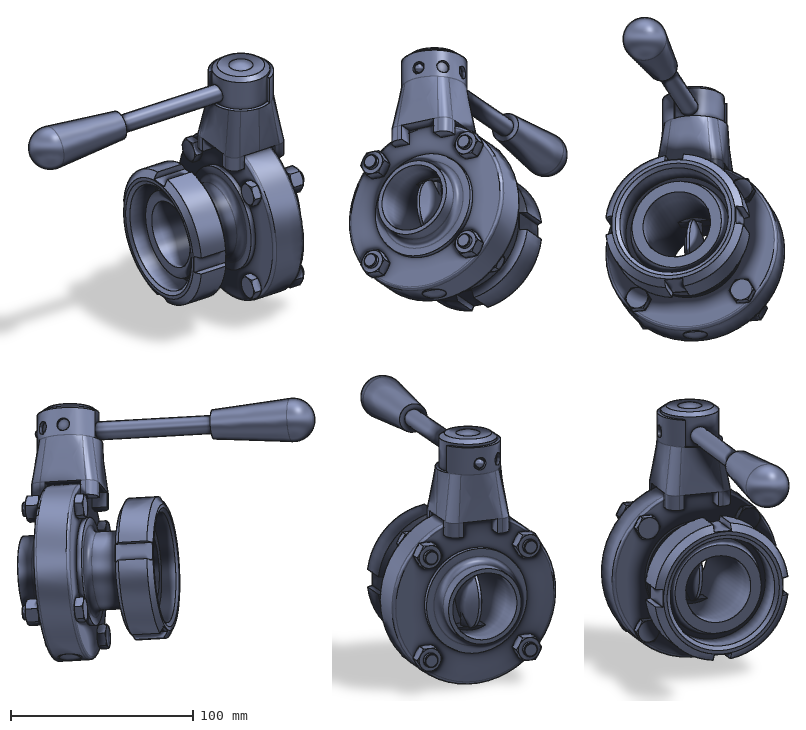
import cadquery as cq
import math


bore_radius = 38.0 / 2
pipe_radius = 43.0 / 2
pipe_rear_y = 24.8
flange_radius = 96.9 / 2
flange_half = 10.0
flange_rounding = 1.6
ring_radius = 59.5 / 2
ring_height = 3.0
cove_radius = 3.9

seat_start_y = -31.5
liner_radius = 27.8
liner_front_radius = 25.2
liner_front_y = -46.1
seat_rise = liner_radius - pipe_radius
seat_end_y = seat_start_y - seat_rise

nut_radius = 78.0 / 2
nut_rear_y = -33.0
nut_front_y = -54.2
nut_chamfer_axial = 2.6
nut_chamfer_radial = 4.2
nut_bore_radius = 30.5
nut_mouth_radius = 32.8
nut_mouth_depth = 1.3
nut_slot_width = 10.0
nut_slot_floor = 35.0
nut_slot_count = 4

bolt_offset = 29.4
head_flats = 12.2
head_height = 5.0
hex_nut_flats = 13.0
hex_nut_height = 7.3
hex_chamfer = 0.5
stud_diameter = 8.0
stud_end_y = 19.8
stud_chamfer = 0.5

yoke_half = 18.7
yoke_corner = 5.8
yoke_radius = 18.0
yoke_bottom_z = 39.0
notch_top_z = 47.2
notch_half = 10.0
ledge_z = 73.7
yoke_top_z = 89.1
window_edge = 8.3
detent_diameter = 7.0
detent_angles = (90, 135, 180)

stem_radius = 8.0 / 2
disc_radius = 18.2
disc_half = 5.0
disc_rim_half = 0.8
pad_z = 16.9
pad_half = 4.2

head_radius = 32.0 / 2
head_top_z = 92.7
head_face_radius = 13.07
head_chamfer_height = 2.1
dome_radius = 6.7
dome_height = 1.6
foot_rim_z = -48.0
lever_z = 79.7
rod_radius = 5.0
grip_start_y = -80.5
grip_start_radius = 8.1
grip_ball_radius = 12.0
grip_end_y = -137.5
detent_ball_radius = 5.0 / 2
detent_ball_y = 19.5 - detent_ball_radius


def rod_y(radius, start_y, end_y, x=0, z=0):
    """Cylinder along Y between two stations."""
    plane = cq.Workplane("XZ", origin=(x, start_y, z))
    return plane.circle(radius).extrude(start_y - end_y)


def rod_z(radius, bottom_z, top_z):
    """Cylinder on the stem axis between two heights."""
    return cq.Workplane("XY", origin=(0, 0, bottom_z)).circle(radius).extrude(top_z - bottom_z)


def block(x_limits, y_limits, z_limits):
    """Box between pairs of coordinates."""
    sizes = [high - low for low, high in (x_limits, y_limits, z_limits)]
    corner = (x_limits[0], y_limits[0], z_limits[0])
    return cq.Workplane("XY", origin=corner).box(*sizes, centered=False)


def revolve_about_y(profile):
    return profile.close().revolve(360, (0, 0, 0), (0, 1, 0))


def make_raised_ring(side):
    """Raised ring on one flange face, blending into the pipe with a cove."""
    face_y = side * (flange_half + ring_height)
    cove_x = pipe_radius + cove_radius
    cove_y = face_y + side * cove_radius
    diagonal = cove_radius * math.sqrt(0.5)
    profile = (
        cq.Workplane("XY")
        .moveTo(bore_radius, 0)
        .lineTo(ring_radius, 0)
        .lineTo(ring_radius, face_y)
        .lineTo(cove_x, face_y)
        .threePointArc((cove_x - diagonal, cove_y - side * diagonal), (pipe_radius, cove_y))
        .lineTo(bore_radius, cove_y)
    )
    return revolve_about_y(profile)


def make_liner():
    """Flared seat for the nut followed by the tapering liner nose."""
    profile = (
        cq.Workplane("XY")
        .moveTo(bore_radius, seat_start_y)
        .lineTo(pipe_radius, seat_start_y)
        .lineTo(liner_radius, seat_end_y)
        .lineTo(liner_front_radius, liner_front_y)
        .lineTo(bore_radius, liner_front_y)
    )
    return revolve_about_y(profile)


def make_hex(flats, start_y, end_y, x, z):
    """Hexagon along Y with a corner on X; conical chamfers take its end corners down to its flats."""
    corner_radius = flats / math.sqrt(3)
    prism = cq.Workplane("XZ", origin=(x, start_y, z)).polygon(6, 2 * corner_radius).extrude(start_y - end_y)
    envelope = rod_y(corner_radius, start_y, end_y, x, z)
    envelope = envelope.faces("<Y or >Y").edges().chamfer(hex_chamfer, corner_radius - flats / 2)
    return prism.intersect(envelope)


def make_bolt(x, z):
    """Hex head on the front flange face; hex nut and stud end on the rear one."""
    head = make_hex(head_flats, -flange_half, -flange_half - head_height, x, z)
    hex_nut = make_hex(hex_nut_flats, flange_half + hex_nut_height, flange_half, x, z)
    stud = rod_y(stud_diameter / 2, stud_end_y, flange_half, x, z).faces(">Y").chamfer(stud_chamfer)
    return [head, hex_nut, stud]


def make_yoke():
    """Four legs astride the flanges, blending from a rounded square into a round cup."""
    square = cq.Sketch().rect(2 * yoke_half, 2 * yoke_half).vertices().fillet(yoke_corner)
    legs = cq.Workplane("XY", origin=(0, 0, yoke_bottom_z)).placeSketch(square)
    legs = legs.extrude(notch_top_z - yoke_bottom_z)
    notch = (-notch_half, notch_half)
    full = (-yoke_half, yoke_half)
    notch_z = (yoke_bottom_z, notch_top_z)
    legs = legs.cut(block(notch, full, notch_z)).cut(block(full, notch, notch_z))

    ring = cq.Sketch().circle(yoke_radius)
    top_location = cq.Location(cq.Vector(0, 0, ledge_z - notch_top_z))
    blend = cq.Workplane("XY", origin=(0, 0, notch_top_z))
    blend = blend.placeSketch(square, ring.moved(top_location)).loft()

    cup = rod_z(yoke_radius, ledge_z, yoke_top_z).cut(rod_z(head_radius, ledge_z, yoke_top_z))
    window = block((-window_edge, yoke_half), (-yoke_half, window_edge), (ledge_z, yoke_top_z))
    cup = cup.cut(window)
    detent_hole = cq.Workplane("YZ", origin=(0, 0, lever_z)).circle(detent_diameter / 2).extrude(yoke_half)
    for angle in detent_angles:
        hole = detent_hole.rotate((0, 0, 0), (0, 0, 1), angle)
        cup = cup.cut(hole)
    return legs.union(blend).union(cup)


def make_bearing_pads():
    """Flat pads across the top and bottom of the bore, where the stem enters."""
    core = rod_y(bore_radius, pad_half, -pad_half)
    full = (-bore_radius, bore_radius)
    return core.cut(block(full, full, (-pad_z, pad_z)))


def make_housing():
    flanges = rod_y(flange_radius, flange_half, -flange_half).edges().fillet(flange_rounding)
    body = flanges.union(rod_y(pipe_radius, pipe_rear_y, seat_start_y))
    for side in (-1, 1):
        body = body.union(make_raised_ring(side))
    body = body.union(make_liner()).union(make_yoke())
    body = body.cut(rod_y(bore_radius, pipe_rear_y, liner_front_y)).union(make_bearing_pads())
    for x in (-bolt_offset, bolt_offset):
        for z in (-bolt_offset, bolt_offset):
            for piece in make_bolt(x, z):
                body = body.union(piece)
    return body.cut(make_stem()).cut(make_disc())


def make_union_nut():
    """Slotted ring nut whose rear lip bears on the flared seat of the liner."""
    face_radius = nut_radius - nut_chamfer_radial
    lip_radius = pipe_radius + (seat_start_y - nut_rear_y)
    profile = (
        cq.Workplane("XY")
        .moveTo(lip_radius, nut_rear_y)
        .lineTo(face_radius, nut_rear_y)
        .lineTo(nut_radius, nut_rear_y - nut_chamfer_axial)
        .lineTo(nut_radius, nut_front_y + nut_chamfer_axial)
        .lineTo(face_radius, nut_front_y)
        .lineTo(nut_mouth_radius, nut_front_y)
        .lineTo(nut_bore_radius, nut_front_y + nut_mouth_depth)
        .lineTo(nut_bore_radius, seat_end_y)
        .lineTo(liner_radius, seat_end_y)
    )
    nut = revolve_about_y(profile)
    half_width = nut_slot_width / 2
    slot = block((nut_slot_floor, nut_radius), (nut_front_y, nut_rear_y), (-half_width, half_width))
    for index in range(nut_slot_count):
        nut = nut.cut(slot.rotate((0, 0, 0), (0, 1, 0), index * 360 / nut_slot_count))
    return nut


def make_dome(rim_z, direction):
    """Shallow spherical cap on the stem axis, bulging up (+1) or down (-1)."""
    ball_radius = (dome_radius**2 + dome_height**2) / (2 * dome_height)
    ball_z = rim_z + direction * (dome_height - ball_radius)
    ball = cq.Workplane("XY", origin=(0, 0, ball_z)).sphere(ball_radius)
    rim = cq.Workplane("XY", origin=(0, 0, rim_z)).circle(dome_radius)
    return rim.extrude(direction * dome_height).intersect(ball)


def make_disc():
    """Lens-shaped disc in the open position, lying in the YZ plane."""
    sagitta = disc_half - disc_rim_half
    ball_radius = (disc_radius**2 + sagitta**2) / (2 * sagitta)
    half_angle = math.asin(disc_radius / ball_radius) / 2
    bulge_x = disc_half - ball_radius * (1 - math.cos(half_angle))
    bulge_y = ball_radius * math.sin(half_angle)
    profile = (
        cq.Workplane("XY")
        .moveTo(-disc_half, 0)
        .threePointArc((-bulge_x, bulge_y), (-disc_rim_half, disc_radius))
        .lineTo(disc_rim_half, disc_radius)
        .threePointArc((bulge_x, bulge_y), (disc_half, 0))
    )
    return profile.close().revolve(360, (0, 0, 0), (1, 0, 0))


def make_head():
    """Round head in the yoke cup, with a chamfered top and a detent ball at the rear."""
    head = rod_z(head_radius, ledge_z, head_top_z)
    head = head.faces(">Z").edges().chamfer(head_chamfer_height, head_radius - head_face_radius)
    ball = cq.Workplane("XY", origin=(0, detent_ball_y, lever_z)).sphere(detent_ball_radius)
    return head.union(ball).union(make_dome(head_top_z, 1))


def make_handle():
    """Rod and tapered grip with a ball end that the taper meets tangentially."""
    ball_y = grip_end_y + grip_ball_radius
    distance = grip_start_y - ball_y
    tangent_angle = math.atan2(grip_start_radius, distance)
    tangent_angle = math.acos(grip_ball_radius / math.hypot(distance, grip_start_radius)) + tangent_angle
    tangent_x = grip_ball_radius * math.sin(tangent_angle)
    tangent_y = ball_y + grip_ball_radius * math.cos(tangent_angle)
    arc_angle = (tangent_angle + math.pi) / 2
    arc_point = (grip_ball_radius * math.sin(arc_angle), ball_y + grip_ball_radius * math.cos(arc_angle))
    profile = (
        cq.Workplane("XY")
        .moveTo(0, grip_start_y)
        .lineTo(grip_start_radius, grip_start_y)
        .lineTo(tangent_x, tangent_y)
        .threePointArc(arc_point, (0, grip_end_y))
    )
    grip = revolve_about_y(profile)
    return grip.translate((0, 0, lever_z)).union(rod_y(rod_radius, 0, grip_start_y, z=lever_z))


def make_stem():
    """Stem below the head, ending in a domed foot under the flanges."""
    foot_plug = rod_z(dome_radius, foot_rim_z, foot_rim_z + dome_height)
    return rod_z(stem_radius, foot_rim_z, ledge_z).union(foot_plug).union(make_dome(foot_rim_z, -1))


def make_lever():
    return make_head().union(make_handle()).union(make_stem()).union(make_disc())


housing = make_housing()
union_nut = make_union_nut()
lever = make_lever()

result = cq.Compound.makeCompound([housing.val(), union_nut.val(), lever.val()])